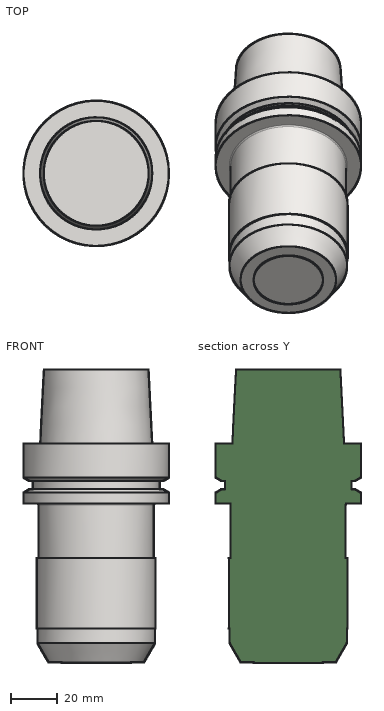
import cadquery as cq
import math

shank_length = 32.0
body_length = 95.0

shank_top_dia = 45.35
shank_root_dia = 48.55

flange_dia = 63.0
flange_height = 26.0
groove_dia = 55.0
groove_width = 3.5
groove_center_depth = 18.0
groove_flank_inner_dia = 58.0
groove_flank_angle = 30.0

neck_dia = 50.0
neck_fillet = 0.5

sleeve_dia = 51.5
sleeve_top_depth = 49.5
sleeve_bottom_depth = 80.0

nose_dia = 51.0
nose_taper_depth = 86.3
nose_angle = 30.0

pad_dia = 30.0
pad_height = 0.3


def frustum(bottom_z, bottom_dia, top_z, top_dia):
    """Solid cone frustum about Z between two levels."""
    return (
        cq.Workplane("XZ")
        .polyline([
            (0, bottom_z),
            (bottom_dia / 2, bottom_z),
            (top_dia / 2, top_z),
            (0, top_z),
        ])
        .close()
        .revolve(360, (0, 0, 0), (0, 1, 0))
    )


def cylinder(bottom_z, top_z, diameter):
    """Solid cylinder about Z between two levels."""
    height = top_z - bottom_z
    return cq.Workplane("XY").workplane(offset=bottom_z).circle(diameter / 2).extrude(height)


def gripper_groove():
    """Ring to cut from the flange: square groove whose mouth widens along sloping flanks."""
    floor_radius = groove_dia / 2
    flank_radius = groove_flank_inner_dia / 2
    rim_radius = flange_dia / 2
    half_width = groove_width / 2
    half_mouth = half_width + (rim_radius - flank_radius) * math.tan(math.radians(groove_flank_angle))
    return (
        cq.Workplane("XZ", origin=(0, 0, -groove_center_depth))
        .polyline([
            (floor_radius, -half_width),
            (flank_radius, -half_width),
            (rim_radius, -half_mouth),
            (rim_radius, half_mouth),
            (flank_radius, half_width),
            (floor_radius, half_width),
        ])
        .close()
        .revolve(360, (0, 0, 0), (0, 1, 0))
    )


def neck_root():
    """Neck cylinder joined to the flange underside by a small fillet."""
    neck_radius = neck_dia / 2
    fillet_radius = neck_radius + neck_fillet
    fillet_mid = neck_fillet * (1 - math.sin(math.radians(45)))
    return (
        cq.Workplane("XZ")
        .moveTo(0, -sleeve_top_depth)
        .lineTo(neck_radius, -sleeve_top_depth)
        .lineTo(neck_radius, -flange_height - neck_fillet)
        .threePointArc(
            (neck_radius + fillet_mid, -flange_height - fillet_mid),
            (fillet_radius, -flange_height),
        )
        .lineTo(0, -flange_height)
        .close()
        .revolve(360, (0, 0, 0), (0, 1, 0))
    )


def nose():
    """Short cylinder followed by a cone and a low pad on its end face."""
    cone_end_depth = body_length - pad_height
    cone_height = cone_end_depth - nose_taper_depth
    end_dia = nose_dia - 2 * cone_height * math.tan(math.radians(nose_angle))
    collar = cylinder(-nose_taper_depth, -sleeve_bottom_depth, nose_dia)
    cone = frustum(-cone_end_depth, end_dia, -nose_taper_depth, nose_dia)
    pad = cylinder(-body_length, -cone_end_depth, pad_dia)
    return collar.union(cone).union(pad)


shank = frustum(0, shank_root_dia, shank_length, shank_top_dia)
flange = cylinder(-flange_height, 0, flange_dia).cut(gripper_groove())
sleeve = cylinder(-sleeve_bottom_depth, -sleeve_top_depth, sleeve_dia)

result = shank.union(flange).union(neck_root()).union(sleeve).union(nose())